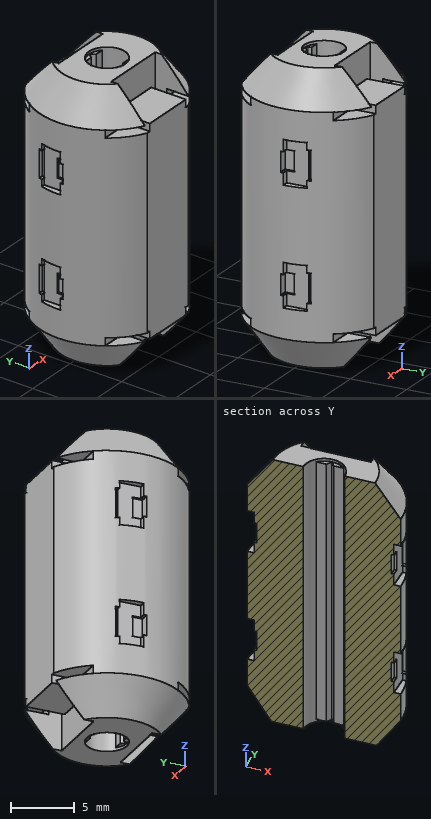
import cadquery as cq

LENGTH = 25.2
BODY_RADIUS = 6.5
FLAT_WIDTH = 11.8
CONE_HEIGHT = 2.92
TOP_RADIUS = 4.33
BOTTOM_RADIUS = 4.45

HALF_LENGTH = LENGTH / 2
FLAT_Y = FLAT_WIDTH / 2
SHOULDER_Z = HALF_LENGTH - CONE_HEIGHT

NOTCH_WIDTH = 5.9
NOTCH_FLOOR_Y = 2.55
PAD_WIDTH = 4.85
LEDGE_DROP = 0.7
LEDGE_WALL_Y = 3.68
LEDGE_Z = SHOULDER_Z - LEDGE_DROP

BORE_RADIUS = 1.75
TOOTH_Y = 1.29
TOOTH_GAP_WIDTH = 0.65
TOOTH_GAP_Y = 1.7
TOOTH_DEPTH = 0.25

LATCH_Z = 5.17
WINDOW_X = 5.92
TAB_X = 5.77
CATCH_X = 5.72
WINDOW_HEIGHT = 3.83
WINDOW_Y = (-0.18, 1.81)
TAB_HEIGHT = 2.57
TAB_Y = (WINDOW_Y[1], 2.12)
CATCH_HEIGHT = 1.76
CATCH_Y = (-0.4, 0.53)


def block(x_range, y_range, z_range):
    """Box spanning the given ranges."""
    low, high = zip(x_range, y_range, z_range)
    size = [b - a for a, b in zip(low, high)]
    return cq.Workplane("XY").box(*size, centered=False).translate(low)


def make_body():
    """Turned body with its end cones, cut to the two flats."""
    outline = [
        (0, -HALF_LENGTH),
        (BOTTOM_RADIUS, -HALF_LENGTH),
        (BODY_RADIUS, -SHOULDER_Z),
        (BODY_RADIUS, SHOULDER_Z),
        (TOP_RADIUS, HALF_LENGTH),
        (0, HALF_LENGTH),
    ]
    turned = cq.Workplane("XZ").polyline(outline).close().revolve(360, (0, 0), (0, 1))
    return turned.intersect(cq.Workplane("XY").box(2 * BODY_RADIUS, FLAT_WIDTH, LENGTH))


def make_end_notch():
    """Material removed at the top of the +Y flat: notch and side ledges, less the pad."""
    half_notch = NOTCH_WIDTH / 2
    half_pad = PAD_WIDTH / 2
    notch = block((-half_notch, half_notch), (NOTCH_FLOOR_Y, FLAT_Y), (LEDGE_Z, HALF_LENGTH))
    ledges = block((-BODY_RADIUS, BODY_RADIUS), (LEDGE_WALL_Y, FLAT_Y), (LEDGE_Z, SHOULDER_Z))
    pad = block((-half_pad, half_pad), (NOTCH_FLOOR_Y, FLAT_Y), (LEDGE_Z, SHOULDER_Z))
    return notch.union(ledges).cut(pad)


def make_bore():
    """Through bore with a pair of pointed teeth on each Y side, set in from the ends."""
    half_gap = TOOTH_GAP_WIDTH / 2
    half_tooth = HALF_LENGTH - TOOTH_DEPTH
    bore = cq.Workplane("XY").circle(BORE_RADIUS).extrude(HALF_LENGTH, both=True)
    gap_outline = [(-half_gap, TOOTH_Y), (0, TOOTH_GAP_Y), (half_gap, TOOTH_Y)]
    gap = cq.Workplane("XY").polyline(gap_outline).close().extrude(half_tooth, both=True)
    teeth = block(
        (-BORE_RADIUS, BORE_RADIUS), (TOOTH_Y, BORE_RADIUS), (-half_tooth, half_tooth)
    ).cut(gap)
    return bore.cut(teeth).cut(teeth.mirror("XZ"))


def make_latch_window(z):
    """Flat-floored window on the -X side with a deeper tab slot and catch pocket."""
    pockets = [
        (WINDOW_X, WINDOW_Y, WINDOW_HEIGHT),
        (TAB_X, TAB_Y, TAB_HEIGHT),
        (CATCH_X, CATCH_Y, CATCH_HEIGHT),
    ]
    window = cq.Workplane("XY")
    for floor_x, y_range, height in pockets:
        z_range = (z - height / 2, z + height / 2)
        window = window.add(block((-BODY_RADIUS, -floor_x), y_range, z_range))
    return window.combine()


result = make_body().cut(make_bore())

upper_notch = make_end_notch()
for notch in (upper_notch, upper_notch.mirror("XY")):
    result = result.cut(notch).cut(notch.mirror("XZ"))

for z in (-LATCH_Z, LATCH_Z):
    window = make_latch_window(z)
    result = result.cut(window).cut(window.mirror("YZ"))